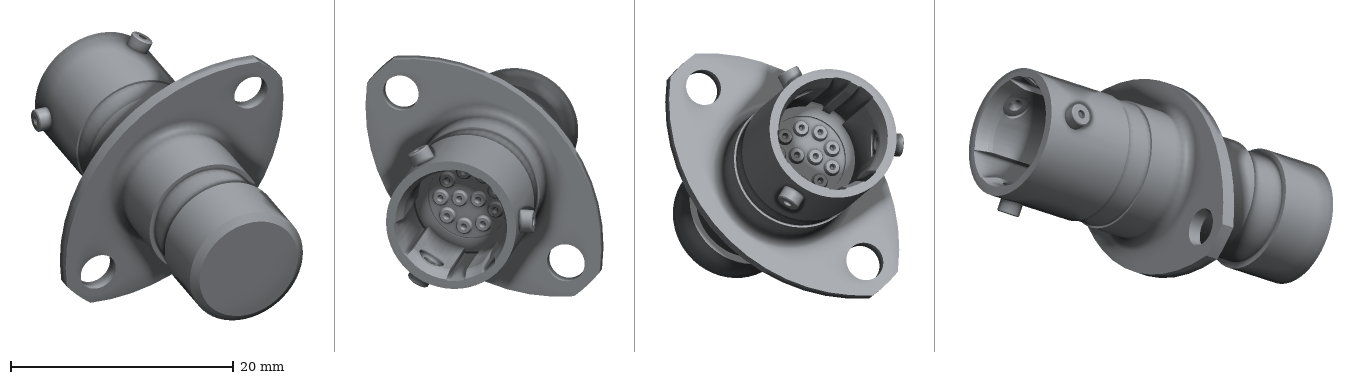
import cadquery as cq
import math


length = 33.3
barrel_radius = 5.95
front_groove_start = 8.95
front_groove_end = 11.6
front_groove_radius = 5.75
flange_front = 15.95
flange_thickness = 1.25
flange_fillet = 0.85
neck_radius = 5.5
rear_groove_start = 23.8
rear_groove_end = 27.35
rear_groove_radius = 5.0
tail_radius = 5.6
tail_chamfer_length = 0.5
tail_chamfer_drop = 0.73

lens_arc_radius = 16.95
lens_arc_shift = 6.15
tip_radius = 13.52
mount_offset = 7.55
upper_mount_radius = 1.63
lower_mount_radius = 1.73

mouth_radius = 5.13
mouth_taper_end = 1.2
throat_radius = 4.73
land_start = 1.65
land_radius = 4.63
socket_depth = 8.95
keyway_radius = 5.23
keyway_spans = [(43, 61.5), (70.5, 90), (180, 217), (265, 284.5), (303.5, 322)]
keyway_corner_radius = 0.2
insert_chamfer = 0.25

groove_outer_radius = 3.75
groove_inner_radius = 3.63
groove_depth = 0.2
contact_ring_radius = 2.6
ring_contact_count = 9
inner_contact_offset = 0.85
contact_base_radius = 0.75
contact_rim_radius = 0.6
contact_height = 0.33
contact_hole_radius = 0.3
contact_hole_floor_radius = 0.13
contact_hole_depth = 0.33

pin_count = 3
pin_position = 2.55
pin_radius = 1.03
pin_tip = 7.1
pin_tip_chamfer = 0.1
pin_dimple_radius = 0.4
pin_dimple_depth = 0.33
pin_head_radius = 1.25
pin_head_inner_face = 4.8
pin_head_thickness = 0.45
pin_bore_radius = 0.33
pin_bore_depth = 1.0
pin_countersink_radius = 0.63
pin_countersink_depth = 0.43

flange_back = flange_front + flange_thickness
pin_head_outer_face = pin_head_inner_face + pin_head_thickness


def revolve_about_axis(outline):
    """Turn an outline of (x, radius) about the connector axis."""
    return outline.close().revolve(360, (0, 0, 0), (1, 0, 0))


def disc(start, thickness, radius):
    """A cylinder on the connector axis."""
    return cq.Workplane("YZ").workplane(offset=start).circle(radius).extrude(thickness)


def make_body():
    """The turned outside, with concave fillets running up to the flange."""
    bend = flange_fillet * (1 - math.sqrt(0.5))
    outline = (
        cq.Workplane("XY")
        .moveTo(0, 0)
        .lineTo(0, barrel_radius)
        .lineTo(front_groove_start, barrel_radius)
        .lineTo(front_groove_start, front_groove_radius)
        .lineTo(front_groove_end, front_groove_radius)
        .lineTo(front_groove_end, barrel_radius)
        .lineTo(flange_front - flange_fillet, barrel_radius)
        .threePointArc(
            (flange_front - bend, barrel_radius + bend),
            (flange_front, barrel_radius + flange_fillet),
        )
        .lineTo(flange_back, barrel_radius + flange_fillet)
        .lineTo(flange_back, neck_radius + flange_fillet)
        .threePointArc(
            (flange_back + bend, neck_radius + bend),
            (flange_back + flange_fillet, neck_radius),
        )
        .lineTo(rear_groove_start, neck_radius)
        .lineTo(rear_groove_start, rear_groove_radius)
        .lineTo(rear_groove_end, rear_groove_radius)
        .lineTo(rear_groove_end, tail_radius)
        .lineTo(length - tail_chamfer_length, tail_radius)
        .lineTo(length, tail_radius - tail_chamfer_drop)
        .lineTo(length, 0)
    )
    return revolve_about_axis(outline)


def make_flange():
    """The lens plate with its two mounting holes, long along the +Y+Z diagonal."""
    plate = disc(flange_front, flange_thickness, tip_radius)
    for side in (1, -1):
        arc_disc = disc(flange_front, flange_thickness, lens_arc_radius)
        plate = plate.intersect(arc_disc.translate((0, side * lens_arc_shift, -side * lens_arc_shift)))
    for side, radius in ((1, upper_mount_radius), (-1, lower_mount_radius)):
        hole = disc(flange_front, flange_thickness, radius)
        plate = plate.cut(hole.translate((0, side * mount_offset, side * mount_offset)))
    return plate


def make_socket():
    """The empty space of the socket: a tapered mouth that leads to the lands."""
    outline = (
        cq.Workplane("XY")
        .moveTo(0, 0)
        .lineTo(0, mouth_radius)
        .lineTo(mouth_taper_end, throat_radius)
        .lineTo(land_start, land_radius)
        .lineTo(socket_depth, land_radius)
        .lineTo(socket_depth, 0)
    )
    return revolve_about_axis(outline)


def make_keyway(start_angle, end_angle):
    """One keyway between two angles, ending on the chamfered rim of the insert."""
    ring = revolve_about_axis(
        cq.Workplane("XY")
        .moveTo(0, 0)
        .lineTo(0, keyway_radius)
        .lineTo(socket_depth + insert_chamfer, keyway_radius)
        .lineTo(socket_depth, keyway_radius - insert_chamfer)
        .lineTo(socket_depth, 0)
    )
    reach = 2 * keyway_radius
    corners = [(0, 0)]
    for angle in (start_angle, end_angle):
        turn = math.radians(angle)
        corners.append((-reach * math.cos(turn), reach * math.sin(turn)))
    depth = socket_depth + insert_chamfer
    wedge = cq.Workplane("YZ").polyline(corners).close().extrude(depth)
    sector = wedge.intersect(disc(0, depth, keyway_radius)).edges("|X").fillet(keyway_corner_radius)
    return ring.intersect(sector)


def make_face_groove():
    """The space of the round groove in the insert face."""
    return disc(socket_depth, groove_depth, groove_outer_radius).cut(
        disc(socket_depth, groove_depth, groove_inner_radius)
    )


def contact_positions():
    """Centres (y, z) of the ring of contacts and the inner pair."""
    step = 2 * math.pi / ring_contact_count
    ring = [
        (contact_ring_radius * math.cos(i * step), contact_ring_radius * math.sin(i * step))
        for i in range(ring_contact_count)
    ]
    return ring + [(inner_contact_offset, 0), (-inner_contact_offset, 0)]


def make_contact_boss():
    """A tapered collar that stands on the insert face, on the connector axis."""
    outline = (
        cq.Workplane("XY")
        .moveTo(socket_depth, 0)
        .lineTo(socket_depth, contact_base_radius)
        .lineTo(socket_depth - contact_height, contact_rim_radius)
        .lineTo(socket_depth - contact_height, 0)
    )
    return revolve_about_axis(outline)


def make_contact_hole():
    """The tapered, flat-bottomed hole in a contact collar, on the connector axis."""
    collar_face = socket_depth - contact_height
    outline = (
        cq.Workplane("XY")
        .moveTo(collar_face, 0)
        .lineTo(collar_face, contact_hole_radius)
        .lineTo(collar_face + contact_hole_depth, contact_hole_floor_radius)
        .lineTo(collar_face + contact_hole_depth, 0)
    )
    return revolve_about_axis(outline)


def place_pin_shape(shape, index):
    """Move a shape standing on +Z to one of the evenly spaced pin places, the first at -Y."""
    angle = 90 - index * 360 / pin_count
    return shape.rotate((0, 0, 0), (1, 0, 0), angle).translate((pin_position, 0, 0))


def upright(start, end, radius):
    """A cylinder along +Z between two distances from the connector axis."""
    return cq.Workplane("XY").workplane(offset=start).circle(radius).extrude(end - start)


def make_pin():
    """A bayonet pin standing on +Z: headed and drilled at its inner end, dimpled at its tip."""
    pin = upright(pin_head_outer_face, pin_tip, pin_radius).faces(">Z").chamfer(pin_tip_chamfer)
    pin = pin.union(upright(pin_head_inner_face, pin_head_outer_face, pin_head_radius))
    pin = pin.cut(upright(pin_tip - pin_dimple_depth, pin_tip, pin_dimple_radius))
    pin = pin.cut(upright(pin_head_inner_face, pin_head_inner_face + pin_bore_depth, pin_bore_radius))
    countersink = cq.Solid.makeCone(
        pin_countersink_radius,
        pin_bore_radius,
        pin_countersink_depth,
        pnt=cq.Vector(0, 0, pin_head_inner_face),
    )
    return pin.cut(cq.Workplane(countersink))


def make_pin_seat():
    """The space a pin takes in the wall, open from the head toward the axis."""
    shank = upright(pin_head_outer_face, pin_tip, pin_radius)
    return shank.union(upright(land_radius / 2, pin_head_outer_face, pin_head_radius))


def make_housing():
    """The shell with its flange, socket, keyways, contacts and pin seats."""
    housing = make_body().union(make_flange()).cut(make_socket())
    for start_angle, end_angle in keyway_spans:
        housing = housing.cut(make_keyway(start_angle, end_angle))
    housing = housing.cut(make_face_groove())
    for y, z in contact_positions():
        housing = housing.union(make_contact_boss().translate((0, y, z)))
        housing = housing.cut(make_contact_hole().translate((0, y, z)))
    for index in range(pin_count):
        housing = housing.cut(place_pin_shape(make_pin_seat(), index))
    return housing


housing = make_housing()
pins = [place_pin_shape(make_pin(), index) for index in range(pin_count)]

result = cq.Compound.makeCompound([housing.val(), *[pin.val() for pin in pins]])